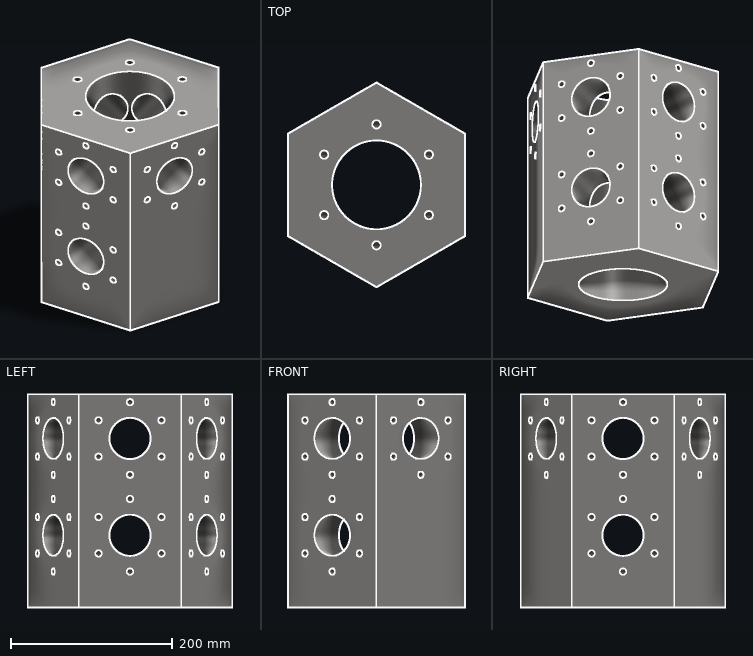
import cadquery as cq
import math

height = 265.0
side_count = 6
half_side_angle = 180 / side_count
across_flats = 220.0
apothem = across_flats / 2
across_corners = across_flats / math.cos(math.radians(half_side_angle))

bore_diameter = 110.0
bolt_count = 6
first_bolt_angle = 90
top_bolt_circle_radius = 75.0
top_bolt_diameter = 10.3
top_bolt_depth = 20.0

port_diameter = 51.0
port_bolt_circle_radius = 45.0
port_bolt_diameter = 8.0
port_bolt_depth = 20.0
upper_port_z = 210.0
port_spacing = 120.0
lower_port_z = upper_port_z - port_spacing

drill_point_angle = 152

upper_port_faces = [0, 60, 120, 180, 240, 300]
lower_port_faces = [0, 120, 180, 240]


def drilled_hole(diameter, depth):
    """Blind hole entering downward from the origin, ending in a conical drill point."""
    radius = diameter / 2
    point_length = radius / math.tan(math.radians(drill_point_angle / 2))
    profile = cq.Workplane("XZ").polyline([
        (0, 0),
        (radius, 0),
        (radius, -depth),
        (0, -depth - point_length),
    ]).close()
    return profile.revolve(360, (0, 0, 0), (0, 1, 0)).val()


def bolt_circle(plane, circle_radius, diameter, depth):
    """Ring of blind holes entering a face, the first one above the centre along the local Y axis."""
    hole = drilled_hole(diameter, depth)
    ring = cq.Workplane(plane).polarArray(circle_radius, first_bolt_angle, 360, bolt_count)
    return ring.eachpoint(lambda location: hole.moved(location), useLocalCoordinates=True)


def face_plane(face_angle, z):
    """Plane on a side face, centred at height z, with its normal outward and local Y up."""
    angle = math.radians(face_angle)
    normal = (math.cos(angle), math.sin(angle), 0)
    sideways = (-math.sin(angle), math.cos(angle), 0)
    origin = (apothem * normal[0], apothem * normal[1], z)
    return cq.Plane(origin=origin, xDir=sideways, normal=normal)


def cut_port(body, face_angle, z):
    """Cut one round port from a side face into the bore, with its ring of bolt holes."""
    plane = face_plane(face_angle, z)
    port = cq.Workplane(plane).circle(port_diameter / 2).extrude(-apothem)
    bolts = bolt_circle(plane, port_bolt_circle_radius, port_bolt_diameter, port_bolt_depth)
    return body.cut(port).cut(bolts)


body = (
    cq.Workplane("XY")
    .transformed(rotate=(0, 0, half_side_angle))
    .polygon(side_count, across_corners)
    .extrude(height)
)
bore = cq.Workplane("XY").circle(bore_diameter / 2).extrude(height)
body = body.cut(bore)

top_plane = cq.Plane(origin=(0, 0, height), xDir=(1, 0, 0), normal=(0, 0, 1))
body = body.cut(bolt_circle(top_plane, top_bolt_circle_radius, top_bolt_diameter, top_bolt_depth))

for face_angle in upper_port_faces:
    body = cut_port(body, face_angle, upper_port_z)
for face_angle in lower_port_faces:
    body = cut_port(body, face_angle, lower_port_z)

result = body